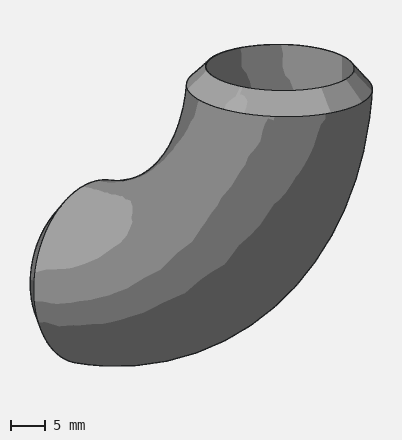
import cadquery as cq
import math

bend_angle = 90
bend_radius = 38.15
outer_radius = 13.4
bore_radius = 10.7

bevel_half_angle = math.radians(42.4)
bevel_tilt = math.radians(3.2)
apex_height = 11.55
apex_offset = 1.0
trim_depth = 17.5
trim_radius = 20.55


def bent_rod(radius):
    """Quarter torus whose ends face +Z and -X."""
    section = cq.Workplane("XY").center(bend_radius, 0).circle(radius)
    return section.revolve(bend_angle, (-bend_radius, 0), (-bend_radius, 1))


def bevel_trim(apex, direction):
    """Ring of material outside the bevel cone at one pipe end."""
    block = cq.Solid.makeCylinder(trim_radius, trim_depth, apex, direction)
    base_radius = trim_depth * math.tan(bevel_half_angle)
    cone = cq.Solid.makeCone(0, base_radius, trim_depth, apex, direction)
    return block.cut(cone)


apex_reach = bend_radius + apex_offset
lean = math.sin(bevel_tilt)
along = math.cos(bevel_tilt)
top_trim = bevel_trim(cq.Vector(apex_reach, 0, apex_height), cq.Vector(-lean, 0, -along))
side_trim = bevel_trim(cq.Vector(-apex_height, 0, -apex_reach), cq.Vector(along, 0, lean))

elbow = bent_rod(outer_radius).cut(bent_rod(bore_radius))
result = elbow.cut(cq.Workplane(top_trim)).cut(cq.Workplane(side_trim))